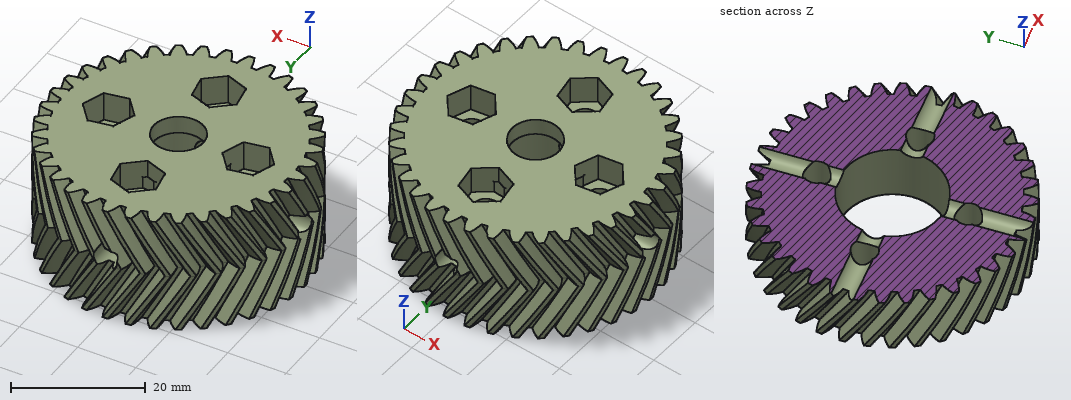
import cadquery as cq
import math

tooth_count = 36
normal_module = 1.0
helix_angle = math.radians(30)
normal_pressure_angle = math.radians(20)
dedendum = 1.25 * normal_module
outer_radius = 43.59 / 2
gear_width = 20.0
half_width = gear_width / 2

pitch_radius = tooth_count * normal_module / math.cos(helix_angle) / 2
root_radius = pitch_radius - dedendum
pressure_angle = math.atan(math.tan(normal_pressure_angle) / math.cos(helix_angle))
base_radius = pitch_radius * math.cos(pressure_angle)
tooth_pitch = 2 * math.pi / tooth_count
half_width_twist = math.degrees(half_width * math.tan(helix_angle) / pitch_radius)

shaft_diameter = 8.5
wide_bore_diameter = 17.0
top_web_thickness = 3.0

bolt_count = 4
bolt_circle_radius = 12.0
bolt_hole_diameter = 4.2
nut_corner_diameter = 8.2
nut_pocket_depth = 5.0
nut_rotation = 10.0

cross_hole_diameter = 4.0
cross_hole_height = half_width + 1.0


def involute(angle):
    return math.tan(angle) - angle


def half_tooth_angle(radius):
    """Half of the angle covered by a tooth at the given radius."""
    flank_angle = math.acos(base_radius / radius)
    return tooth_pitch / 4 + involute(pressure_angle) - involute(flank_angle)


def polar(radius, angle):
    return (radius * math.cos(angle), radius * math.sin(angle))


def gear_outline():
    """Closed outline of all teeth, one tooth centred on the +X axis."""
    mid_radius = (root_radius + outer_radius) / 2
    root_half = half_tooth_angle(root_radius)
    mid_half = half_tooth_angle(mid_radius)
    tip_half = half_tooth_angle(outer_radius)
    outline = cq.Workplane("XY").moveTo(*polar(root_radius, -root_half))
    for tooth in range(tooth_count):
        centre = tooth * tooth_pitch
        gap_centre = centre + tooth_pitch / 2
        next_root = centre + tooth_pitch - root_half
        outline = (
            outline
            .threePointArc(polar(mid_radius, centre - mid_half), polar(outer_radius, centre - tip_half))
            .threePointArc(polar(outer_radius, centre), polar(outer_radius, centre + tip_half))
            .threePointArc(polar(mid_radius, centre + mid_half), polar(root_radius, centre + root_half))
            .threePointArc(polar(root_radius, gap_centre), polar(root_radius, next_root))
        )
    return outline.close()


def herringbone_body():
    """Two helical halves of opposite hand that meet at mid-width."""
    lower_half = gear_outline().twistExtrude(half_width, half_width_twist)
    upper_half = lower_half.mirror("XY", (0, 0, half_width))
    return lower_half.union(upper_half, clean=False)


def centre_bore():
    shaft_bore = cq.Workplane("XY").circle(shaft_diameter / 2).extrude(gear_width)
    wide_bore = cq.Workplane("XY").circle(wide_bore_diameter / 2).extrude(gear_width - top_web_thickness)
    return shaft_bore.union(wide_bore)


def bolt_hole(position_angle):
    """Through hole with a hexagonal nut pocket sunk from the top face."""
    x, y = polar(bolt_circle_radius, position_angle)
    hole = cq.Workplane("XY").circle(bolt_hole_diameter / 2).extrude(gear_width)
    nut_pocket = (
        cq.Workplane("XY", origin=(0, 0, gear_width - nut_pocket_depth))
        .polygon(6, nut_corner_diameter)
        .extrude(nut_pocket_depth)
    )
    pocketed_hole = hole.union(nut_pocket)
    turn = math.degrees(position_angle) + nut_rotation
    return pocketed_hole.rotate((0, 0, 0), (0, 0, 1), turn).translate((x, y, 0))


def cross_hole(plane):
    return (
        cq.Workplane(plane, origin=(0, 0, cross_hole_height))
        .circle(cross_hole_diameter / 2)
        .extrude(outer_radius, both=True)
    )


openings = centre_bore()
for index in range(bolt_count):
    openings = openings.union(bolt_hole(index * 2 * math.pi / bolt_count))
for plane in ("XZ", "YZ"):
    openings = openings.union(cross_hole(plane))

result = herringbone_body().cut(openings, clean=False)